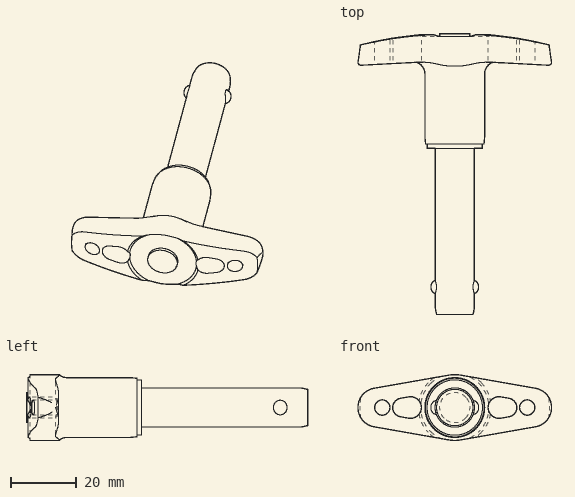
import cadquery as cq
import math


SHANK_RADIUS = 6.0
SHANK_LENGTH = 50.7
TIP_LENGTH = 2.6
TIP_RADIUS = 5.55
TIP_BULGE = 0.75

BALL_RADIUS = 2.3
BALL_REACH = 7.3
BALL_FROM_TIP = 8.4

SLEEVE_RADIUS = 9.15
COLLAR_RADIUS = 8.45
COLLAR_LENGTH = 1.3
TAPER_END_RADIUS = 8.95
TAPER_LENGTH = 2.1
FLARE_RADIUS = 3.5
FLARE_START_Y = 22.75

OVERALL_WIDTH = 59.1
RIM_RADIUS = OVERALL_WIDTH / 2
RIM_TOP_RADIUS = 28.85
RIM_ROUND = 1.0
RIM_BOTTOM_Y = 25.3
DOME_RADIUS = 117.0
DOME_APEX_Y = 35.15
HUB_RADIUS = 10.08
END_RADIUS = 6.0
END_X = RIM_RADIUS - END_RADIUS

BUTTON_RADIUS = 4.6
BUTTON_TOP_Y = 35.0
RECESS_FLOOR_Y = 34.05
RECESS_FLOOR_RADIUS = 10.4
RECESS_RIM_RADIUS = 11.1

HOLE_DIAMETER = 4.6
HOLE_X = 22.1
SLOT_INNER_RADIUS = 3.27
SLOT_INNER_X = 10.2
SLOT_OUTER_X = 18.9


def dome_height(radius):
    """Y of the domed handle top at a distance from the pin axis."""
    return DOME_APEX_Y - DOME_RADIUS + math.sqrt(DOME_RADIUS**2 - radius**2)


def turned_body():
    """Shank, sleeve, handle disc and button as one profile turned about Y."""
    tip_y = -SHANK_LENGTH
    tip_mid_radius = TIP_RADIUS + TIP_BULGE * (SHANK_RADIUS - TIP_RADIUS)
    taper_start_y = COLLAR_LENGTH + TAPER_LENGTH
    flare_outer_radius = SLEEVE_RADIUS + FLARE_RADIUS
    flare_top_y = FLARE_START_Y + FLARE_RADIUS
    flare_mid_radius = flare_outer_radius - FLARE_RADIUS * math.cos(math.pi / 4)
    flare_mid_y = FLARE_START_Y + FLARE_RADIUS * math.sin(math.pi / 4)
    round_start_radius = RIM_RADIUS - RIM_ROUND
    round_end_y = RIM_BOTTOM_Y + RIM_ROUND
    dome_mid_radius = (RIM_TOP_RADIUS + RECESS_RIM_RADIUS) / 2
    profile = (
        cq.Workplane("XY")
        .moveTo(0, tip_y)
        .lineTo(TIP_RADIUS, tip_y)
        .threePointArc((tip_mid_radius, tip_y + TIP_LENGTH / 2), (SHANK_RADIUS, tip_y + TIP_LENGTH))
        .lineTo(SHANK_RADIUS, 0)
        .lineTo(COLLAR_RADIUS, 0)
        .lineTo(COLLAR_RADIUS, COLLAR_LENGTH)
        .lineTo(TAPER_END_RADIUS, COLLAR_LENGTH)
        .lineTo(SLEEVE_RADIUS, taper_start_y)
        .lineTo(SLEEVE_RADIUS, FLARE_START_Y)
        .threePointArc((flare_mid_radius, flare_mid_y), (flare_outer_radius, flare_top_y))
        .lineTo(round_start_radius, RIM_BOTTOM_Y)
        .tangentArcPoint((RIM_RADIUS, round_end_y), relative=False)
        .lineTo(RIM_TOP_RADIUS, dome_height(RIM_TOP_RADIUS))
        .threePointArc(
            (dome_mid_radius, dome_height(dome_mid_radius)),
            (RECESS_RIM_RADIUS, dome_height(RECESS_RIM_RADIUS)),
        )
        .lineTo(RECESS_FLOOR_RADIUS, RECESS_FLOOR_Y)
        .lineTo(BUTTON_RADIUS, RECESS_FLOOR_Y)
        .lineTo(BUTTON_RADIUS, BUTTON_TOP_Y)
        .lineTo(0, BUTTON_TOP_Y)
        .close()
    )
    return profile.revolve(360, (0, 0, 0), (0, 1, 0))


def tapered_prism(side, inner_x, inner_radius, outer_x, outer_radius, start_y, end_y):
    """Two circles on the X axis joined by their outer tangents, extruded along Y.

    The distances count outwards from the pin axis on the given X side (-1 or 1).
    """
    tilt = math.asin((inner_radius - outer_radius) / (outer_x - inner_x))
    inner_tangent_x = side * (inner_x + inner_radius * math.sin(tilt))
    inner_tangent_z = inner_radius * math.cos(tilt)
    outer_tangent_x = side * (outer_x + outer_radius * math.sin(tilt))
    outer_tangent_z = outer_radius * math.cos(tilt)
    outline = (
        cq.Workplane("XZ", origin=(0, end_y, 0))
        .moveTo(inner_tangent_x, inner_tangent_z)
        .lineTo(outer_tangent_x, outer_tangent_z)
        .threePointArc((side * (outer_x + outer_radius), 0), (outer_tangent_x, -outer_tangent_z))
        .lineTo(inner_tangent_x, -inner_tangent_z)
        .threePointArc((side * (inner_x - inner_radius), 0), (inner_tangent_x, inner_tangent_z))
        .close()
    )
    return outline.extrude(end_y - start_y)


def wing_outline(side):
    """Outline of the hub and one wing, run along the whole pin."""
    return tapered_prism(side, 0, HUB_RADIUS, END_X, END_RADIUS, -SHANK_LENGTH, BUTTON_TOP_Y)


def wing_hole(side):
    """Round hole near the tip of the wing on the given X side."""
    start = cq.Workplane("XZ", origin=(side * HOLE_X, BUTTON_TOP_Y, 0))
    return start.circle(HOLE_DIAMETER / 2).extrude(BUTTON_TOP_Y - FLARE_START_Y)


def wing_slot(side):
    """Slot beside the hub, its sides parallel to the sides of the wing."""
    taper = (HUB_RADIUS - END_RADIUS) / END_X
    inner_x = SLOT_INNER_X + SLOT_INNER_RADIUS
    length_beyond = SLOT_OUTER_X - inner_x
    outer_radius = (SLOT_INNER_RADIUS - taper * length_beyond) / (1 - taper)
    outer_x = SLOT_OUTER_X - outer_radius
    return tapered_prism(
        side, inner_x, SLOT_INNER_RADIUS, outer_x, outer_radius, FLARE_START_Y, BUTTON_TOP_Y
    )


def locking_ball(side):
    """Ball standing proud of the shank on the given X side (-1 or 1)."""
    centre = (side * (BALL_REACH - BALL_RADIUS), BALL_FROM_TIP - SHANK_LENGTH, 0)
    return cq.Workplane("XY").sphere(BALL_RADIUS).translate(centre)


outline = wing_outline(-1).union(wing_outline(1))
result = turned_body().intersect(outline)
for side in (-1, 1):
    result = result.cut(wing_hole(side)).cut(wing_slot(side)).union(locking_ball(side))